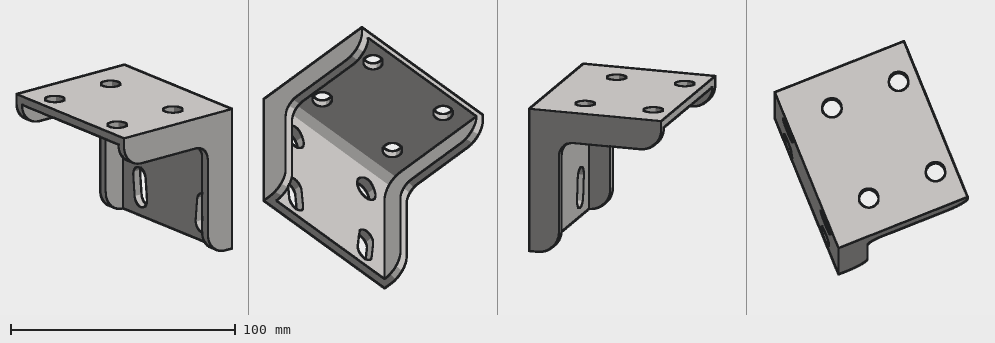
import cadquery as cq
import math

width = 76.0
depth = 62.0
height = 66.0
thickness = 4.0
flange_width = 14.0
flange_end_radius = 9.95
flange_inner_radius = 7.0
bend_radius = 10.0

top_hole_diameter = 8.7
top_hole_spacing_x = 44.0
top_hole_spacing_y = 32.0
rear_hole_setback = 21.0

back_hole_diameter = 11.5
back_hole_spacing = 45.0
back_hole_drop = 16.0
slot_width = 8.7
slot_upper_spacing = 45.0
slot_lower_spacing = 43.0
slot_upper_drop = 47.7
slot_lower_drop = 57.5


def make_angle():
    """L-shaped bar, as deep as the flanges, with rounded ends and inner corner."""
    profile = [
        (0, 0),
        (-depth, 0),
        (-depth, -flange_width),
        (-flange_width, -flange_width),
        (-flange_width, -height),
        (0, -height),
    ]
    bar = cq.Workplane("YZ").polyline(profile).close().extrude(width / 2, both=True)
    inner_corner = cq.NearestToPointSelector((0, -flange_width, -flange_width))
    bar = bar.edges("|X").edges(inner_corner).fillet(flange_inner_radius)
    for end_corner in [(0, -depth, -flange_width), (0, -flange_width, -height)]:
        bar = bar.edges("|X").edges(cq.NearestToPointSelector(end_corner)).fillet(flange_end_radius)
    return bar


def make_channel():
    """Space between the flanges, its upper rear edge rounded to leave the inside bend."""
    return (
        cq.Workplane("XY")
        .box(width - 2 * thickness, depth, height, centered=(True, False, False))
        .translate((0, -thickness - depth, -thickness - height))
        .edges("|X and >Y and >Z")
        .fillet(bend_radius)
    )


def make_top_holes():
    """Four drills through the top plate."""
    return (
        cq.Workplane("XY")
        .center(0, -rear_hole_setback - top_hole_spacing_y / 2)
        .rarray(top_hole_spacing_x, top_hole_spacing_y, 2, 2)
        .circle(top_hole_diameter / 2)
        .extrude(-flange_width)
    )


def make_back_openings(side):
    """Large hole and slanted slot on one side (-1 or 1) of the back plate."""
    hole = (
        cq.Workplane("XZ")
        .center(side * back_hole_spacing / 2, -back_hole_drop)
        .circle(back_hole_diameter / 2)
        .extrude(depth)
    )
    run = (slot_lower_spacing - slot_upper_spacing) / 2 * side
    fall = slot_lower_drop - slot_upper_drop
    slot_x = side * (slot_upper_spacing + slot_lower_spacing) / 4
    slot_z = -(slot_upper_drop + slot_lower_drop) / 2
    slot = (
        cq.Workplane("XZ")
        .center(slot_x, slot_z)
        .slot2D(math.hypot(run, fall) + slot_width, slot_width, math.degrees(math.atan2(-fall, run)))
        .extrude(depth)
    )
    return hole.union(slot)


result = make_angle().cut(make_channel()).cut(make_top_holes())
for side in (-1, 1):
    result = result.cut(make_back_openings(side))